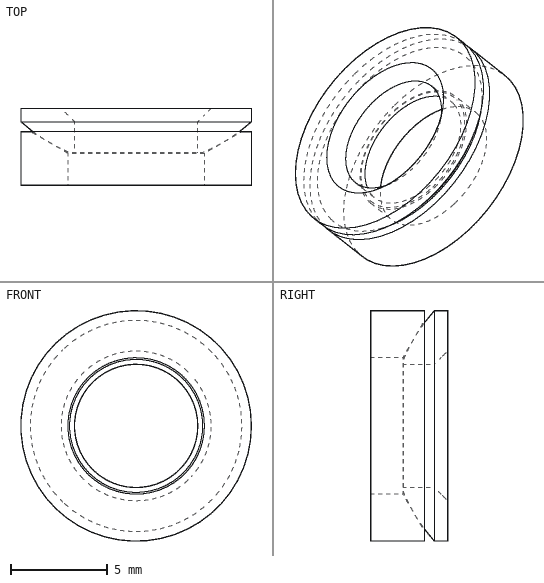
import math

import cadquery as cq

outer_radius = 6.0

ring_length = 2.8
ring_bore_radius = 3.55
seat_mouth_radius = 5.5
seat_slope = math.radians(30)

washer_length = 2.3
washer_bore_radius = 3.2
rim_length = 0.7
sphere_radius = 9.0
countersink_size = 0.7

contact_radius = sphere_radius * math.sin(seat_slope)
contact_depth = ring_length - (seat_mouth_radius - contact_radius) * math.tan(seat_slope)
sphere_center_depth = contact_depth + sphere_radius * math.cos(seat_slope)
rim_front_depth = sphere_center_depth - math.sqrt(sphere_radius**2 - outer_radius**2)
assembly_length = rim_front_depth + rim_length

front_y = -assembly_length / 2
rear_y = assembly_length / 2
ring_rear_y = front_y + ring_length
sphere_center_y = front_y + sphere_center_depth
rim_front_y = front_y + rim_front_depth
washer_front_y = rear_y - washer_length


def revolve_about_axis(profile):
    """Revolve a closed outline, drawn as (radius, y), about the Y axis."""
    return profile.revolve(360, (0, 0, 0), (0, 1, 0))


def sphere_radius_at(y):
    """Distance from the axis to the sphere at position y."""
    return math.sqrt(sphere_radius**2 - (sphere_center_y - y) ** 2)


def sphere_y_at(radius):
    """Position along the axis of the front of the sphere at a distance from the axis."""
    return sphere_center_y - math.sqrt(sphere_radius**2 - radius**2)


def make_seat_ring():
    """Plain ring whose bore opens rearward into the conical seat."""
    seat_inner_y = ring_rear_y - (seat_mouth_radius - ring_bore_radius) * math.tan(seat_slope)
    profile = (
        cq.Workplane("XY")
        .moveTo(ring_bore_radius, front_y)
        .lineTo(outer_radius, front_y)
        .lineTo(outer_radius, ring_rear_y)
        .lineTo(seat_mouth_radius, ring_rear_y)
        .lineTo(ring_bore_radius, seat_inner_y)
        .close()
    )
    return revolve_about_axis(profile)


def make_spherical_washer():
    """Washer with a spherical front, a cylindrical rim and a countersunk bore."""
    face_radius = sphere_radius_at(washer_front_y)
    arc_middle_radius = (face_radius + outer_radius) / 2
    profile = (
        cq.Workplane("XY")
        .moveTo(washer_bore_radius, washer_front_y)
        .lineTo(face_radius, washer_front_y)
        .threePointArc(
            (arc_middle_radius, sphere_y_at(arc_middle_radius)),
            (outer_radius, rim_front_y),
        )
        .lineTo(outer_radius, rear_y)
        .lineTo(washer_bore_radius + countersink_size, rear_y)
        .lineTo(washer_bore_radius, rear_y - countersink_size)
        .close()
    )
    return revolve_about_axis(profile)


seat_ring = make_seat_ring()
spherical_washer = make_spherical_washer()

result = cq.Compound.makeCompound([seat_ring.val(), spherical_washer.val()])